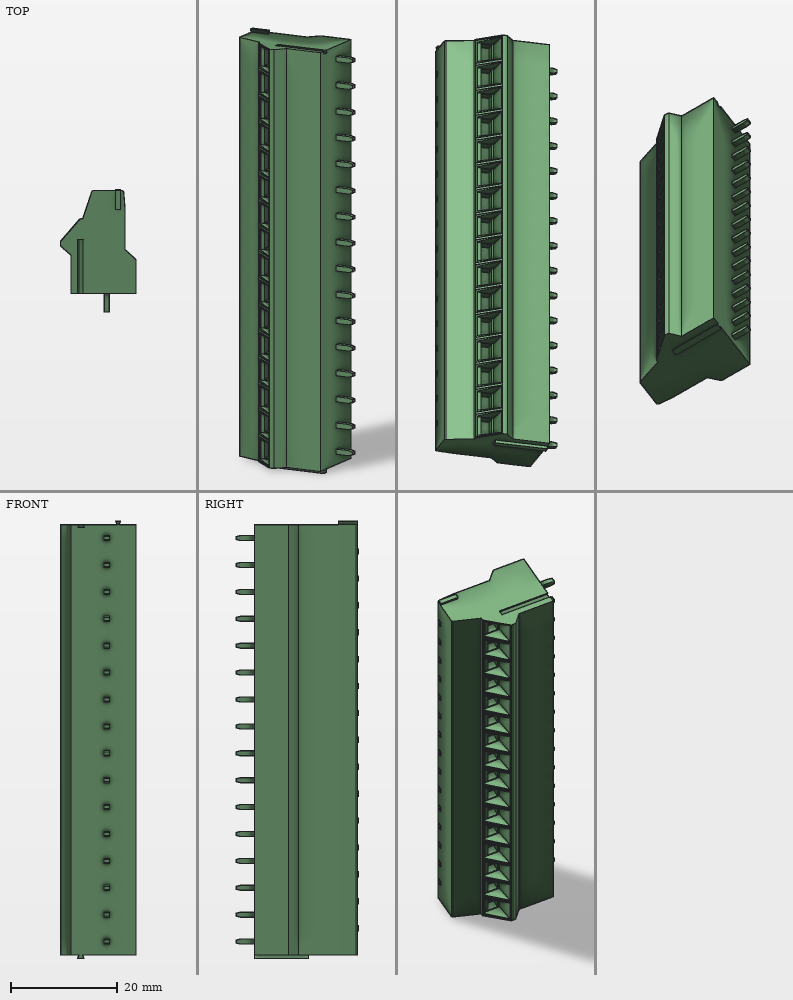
import cadquery as cq

HOUSING_HEIGHT = 81.1
POSITIONS = 16
PITCH = HOUSING_HEIGHT / POSITIONS
BACK = 19.45
FOOT_LEFT = 2.0
WIDTH = 14.3
WIRE_FACE_LOW = (0.0, 9.9)
WIRE_FACE_HIGH = (3.6, 14.1)

PIN_X = 8.7
PIN_WIDTH = 1.0
PIN_HEIGHT = PIN_WIDTH
PIN_LENGTH = 3.5
PIN_TAPER_LENGTH = 0.8
PIN_TIP_HEIGHT = 0.6

RECESS_DEPTH = 0.2
RECESS_BOTTOM = 10.0
RECESS_TOP = 14.0
RECESS_HEIGHT = 4.6
FUNNEL_START_X = 0
FUNNEL_END_X = 3.8
FUNNEL_BOTTOM = RECESS_BOTTOM
FUNNEL_TOP = 14.35
FUNNEL_HEIGHT = 4.4
THROAT_BOTTOM = 10.5
THROAT_TOP = 13.7
THROAT_HEIGHT = 3.9
CLAMP_BOTTOM = 10.9
CLAMP_TOP = 12.95
CLAMP_HEIGHT = 3.5
CLAMP_DEPTH = 1.65

FRONT_JOINT_LENGTH = 10.2
FRONT_JOINT_NECK = 0.75
FRONT_JOINT_HEAD = 1.2
FRONT_TONGUE_HEIGHT = 0.7
GROOVE_DEPTH = 0.6
GROOVE_LEFT = 3.2
GROOVE_RIGHT = 4.3
GROOVE_FLOOR_SHIFT = 0.25
FRONT_JOINT_X = GROOVE_LEFT + FRONT_JOINT_HEAD / 2
BACK_JOINT_X = 10.9
BACK_JOINT_LENGTH = 3.6
BACK_JOINT_NECK = 0.4
BACK_JOINT_HEAD = 0.9
BACK_TONGUE_HEIGHT = 0.7

RIDGE_RISE = 0.2
RIDGE_HEIGHT = 1.0


def make_housing():
    profile = [
        (FOOT_LEFT, 0),
        (FOOT_LEFT, 7.25),
        (0.1, 8.9),
        (0, 9.2),
        WIRE_FACE_LOW,
        WIRE_FACE_HIGH,
        (4.2, 14.2),
        (5.8, 18.9),
        (5.85, 19.2),
        (6.1, BACK),
        (11.7, BACK),
        (11.95, 19.1),
        (12.2, 16.1),
        (12.2, 8.3),
        (WIDTH, 6.4),
        (WIDTH, 0),
    ]
    return cq.Workplane("XY").polyline(profile).close().extrude(HOUSING_HEIGHT)


def wire_face_x(y):
    """X of the slanted wire face at a given Y."""
    low_x, low_y = WIRE_FACE_LOW
    high_x, high_y = WIRE_FACE_HIGH
    return low_x + (y - low_y) * (high_x - low_x) / (high_y - low_y)


def make_wire_entry(center_z):
    """Cutter for one wire entry: shallow recess, tapered funnel and clamp opening."""
    bottom_x = wire_face_x(RECESS_BOTTOM)
    top_x = wire_face_x(RECESS_TOP)
    overshoot = 0.8
    recess = (
        cq.Workplane("XY", origin=(0, 0, center_z))
        .polyline([
            (bottom_x - overshoot, RECESS_BOTTOM),
            (bottom_x + RECESS_DEPTH, RECESS_BOTTOM),
            (top_x + RECESS_DEPTH, RECESS_TOP),
            (top_x - overshoot, RECESS_TOP),
        ])
        .close()
        .extrude(RECESS_HEIGHT / 2, both=True)
    )
    mouth_y = (FUNNEL_BOTTOM + FUNNEL_TOP) / 2
    throat_y = (THROAT_BOTTOM + THROAT_TOP) / 2
    funnel = (
        cq.Workplane("YZ", origin=(FUNNEL_START_X, mouth_y, center_z))
        .rect(FUNNEL_TOP - FUNNEL_BOTTOM, FUNNEL_HEIGHT)
        .workplane(offset=FUNNEL_END_X - FUNNEL_START_X)
        .center(throat_y - mouth_y, 0)
        .rect(THROAT_TOP - THROAT_BOTTOM, THROAT_HEIGHT)
        .loft(ruled=True)
    )
    clamp_y = (CLAMP_BOTTOM + CLAMP_TOP) / 2
    clamp = (
        cq.Workplane("YZ", origin=(FUNNEL_END_X, clamp_y, center_z))
        .rect(CLAMP_TOP - CLAMP_BOTTOM, CLAMP_HEIGHT)
        .extrude(CLAMP_DEPTH)
    )
    return recess.union(funnel).union(clamp)


def make_pin(center_z):
    """Pin whose tip narrows in Z; it starts flush with the mounting face."""
    half = PIN_HEIGHT / 2
    half_tip = PIN_TIP_HEIGHT / 2
    shank_end = PIN_TAPER_LENGTH - PIN_LENGTH
    return (
        cq.Workplane("YZ", origin=(PIN_X, 0, center_z))
        .polyline([
            (0, -half),
            (shank_end, -half),
            (-PIN_LENGTH, -half_tip),
            (-PIN_LENGTH, half_tip),
            (shank_end, half),
            (0, half),
        ])
        .close()
        .extrude(PIN_WIDTH / 2, both=True)
    )


def make_tongue(center_x, start_y, length, neck, head, base_z, rise):
    """Dovetail tongue running along Y; a negative rise points it downward."""
    tip_z = base_z + rise
    return (
        cq.Workplane("XZ", origin=(0, start_y + length, 0))
        .polyline([
            (center_x - neck / 2, base_z),
            (center_x - head / 2, tip_z),
            (center_x + head / 2, tip_z),
            (center_x + neck / 2, base_z),
        ])
        .close()
        .extrude(length)
    )


def make_top_groove():
    """Slanted slot in the top end face, open at the mounting face."""
    floor_z = HOUSING_HEIGHT - GROOVE_DEPTH
    return (
        cq.Workplane("XZ", origin=(0, FRONT_JOINT_LENGTH, 0))
        .polyline([
            (GROOVE_LEFT, HOUSING_HEIGHT),
            (GROOVE_LEFT + GROOVE_FLOOR_SHIFT, floor_z),
            (GROOVE_RIGHT + GROOVE_FLOOR_SHIFT, floor_z),
            (GROOVE_RIGHT, HOUSING_HEIGHT),
        ])
        .close()
        .extrude(FRONT_JOINT_LENGTH)
    )


def make_back_ridge(center_z):
    """Ridge half buried in the back face."""
    return (
        cq.Workplane("XY", origin=(BACK_JOINT_X, BACK, center_z))
        .box(BACK_JOINT_HEAD, 2 * RIDGE_RISE, RIDGE_HEIGHT)
    )


result = make_housing()

for position in range(POSITIONS):
    center = (position + 0.5) * PITCH
    result = result.cut(make_wire_entry(center))
    result = result.union(make_pin(center))

for border in range(1, POSITIONS):
    result = result.union(make_back_ridge(border * PITCH))

bottom_tongue = make_tongue(
    FRONT_JOINT_X,
    0,
    FRONT_JOINT_LENGTH,
    FRONT_JOINT_NECK,
    FRONT_JOINT_HEAD,
    0,
    -FRONT_TONGUE_HEIGHT,
)
top_tongue = make_tongue(
    BACK_JOINT_X,
    BACK - BACK_JOINT_LENGTH,
    BACK_JOINT_LENGTH,
    BACK_JOINT_NECK,
    BACK_JOINT_HEAD,
    HOUSING_HEIGHT,
    BACK_TONGUE_HEIGHT,
)
result = result.union(bottom_tongue).union(top_tongue).cut(make_top_groove())